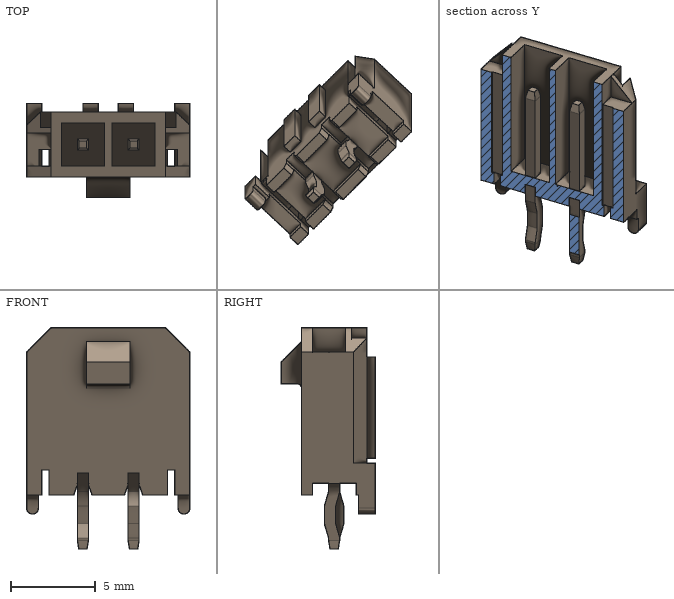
import cadquery as cq


width = 9.65
half_width = width / 2
depth = 3.86
height = 9.89
shoulder = 1.44
wall = 0.65
crown_half = half_width - shoulder
ear_floor = height - shoulder
bevel_width = 0.82
bevel_depth = 0.78
bevel_bottom = 1.88

well_rear = 2.62
ledge_front = 2.94
channel_edge = half_width - bevel_width
pit_edge = 4.08
pit_rear = 1.64
slot_inner = 3.5
slot_outer = 3.92
slot_top = 1.48

pitch = 3.0
cavity = 2.55
cavity_floor = 1.96

recess_top = 0.69
recess_rear = 3.23
pin_notch_top = 1.31
flare_top = 0.58
flare_half = 0.54

rear_reach = 4.37
rib_width = 0.92
rib_spacing = 2.09
rib_bottom = 2.17
rib_top = 8.16
peg_width = 0.7
peg_length = 1.12
peg_front = 3.36

latch_width = 2.59
latch_reach = 1.2
latch_top = 9.06
latch_bottom = 6.57
latch_fillet = 0.25

pin = 0.67
pin_y = wall + cavity / 2
pin_top = 7.85
pin_tip_z = -3.19
tail_taper = 0.52
tail_tip = 0.5
mating_taper = 0.52
mating_tip = 0.43
kink = 0.25
kink_start = 0.21
kink_flat_top = -0.65
kink_flat_bottom = -1.69
kink_end = -2.54

SIDES = (-1, 1)


def block(x0, x1, y0, y1, z0, z1):
    """Axis-aligned box between two corners."""
    return cq.Workplane("XY").box(x1 - x0, y1 - y0, z1 - z0, centered=False).translate((x0, y0, z0))


def side_block(side, x0, x1, y0, y1, z0, z1):
    """Box whose X range is measured outward from the plane of symmetry."""
    left, right = sorted((side * x0, side * x1))
    return block(left, right, y0, y1, z0, z1)


def extrude_along_y(outline, y0, y1):
    """Extrude a closed XZ sketch from y0 to y1."""
    return outline.extrude(y0 - y1).translate((0, y0, 0))


def make_shell():
    """Housing with sloped shoulders."""
    outline = (
        cq.Workplane("XZ")
        .moveTo(-half_width, 0)
        .lineTo(half_width, 0)
        .lineTo(half_width, ear_floor)
        .lineTo(crown_half, height)
        .lineTo(-crown_half, height)
        .lineTo(-half_width, ear_floor)
        .close()
    )
    return extrude_along_y(outline, 0, depth)


def make_rear_bevel(side):
    """Wedge removed from a rear vertical edge, above the foot."""
    return (
        cq.Workplane("XY")
        .workplane(offset=bevel_bottom)
        .moveTo(side * half_width, depth - bevel_depth)
        .lineTo(side * half_width, depth)
        .lineTo(side * channel_edge, depth)
        .close()
        .extrude(height - bevel_bottom)
    )


def make_ear_openings(side):
    """Well on the shoulder, pit in its floor, slot under it and channel at the rear corner."""
    well = side_block(side, crown_half, half_width, wall, well_rear, ear_floor, height)
    pit = side_block(side, crown_half, pit_edge, wall, pit_rear, slot_top, ear_floor)
    slot = side_block(side, slot_inner, slot_outer, 0, depth, 0, slot_top)
    channel = side_block(side, crown_half, channel_edge, ledge_front, depth, bevel_bottom, height)
    return well.union(pit).union(slot).union(channel)


def make_pin_notch(x):
    """Slot through the housing bottom with a flared mouth, around one pin."""
    outline = (
        cq.Workplane("XZ")
        .moveTo(x - flare_half, 0)
        .lineTo(x + flare_half, 0)
        .lineTo(x + pin / 2, flare_top)
        .lineTo(x + pin / 2, pin_notch_top)
        .lineTo(x - pin / 2, pin_notch_top)
        .lineTo(x - pin / 2, flare_top)
        .close()
    )
    return extrude_along_y(outline, 0, depth)


def make_cavity(x):
    """Square contact cavity open at the top, around one pin."""
    return block(x - cavity / 2, x + cavity / 2, wall, wall + cavity, cavity_floor, height)


def make_rib(x):
    """Vertical rib on the rear face."""
    return block(x - rib_width / 2, x + rib_width / 2, depth, rear_reach, rib_bottom, rib_top)


def make_foot(side):
    """Rear foot block with a round-ended peg below it."""
    foot = side_block(side, slot_outer, half_width, recess_rear, rear_reach, 0, bevel_bottom)
    radius = peg_width / 2
    center = side * (half_width - radius)
    outline = (
        cq.Workplane("XZ")
        .moveTo(center - radius, 0)
        .lineTo(center - radius, radius - peg_length)
        .threePointArc((center, -peg_length), (center + radius, radius - peg_length))
        .lineTo(center + radius, 0)
        .close()
    )
    return foot.union(extrude_along_y(outline, peg_front, rear_reach))


def make_latch():
    """Ramped catch on the front face with a fillet at its lower root."""
    return (
        cq.Workplane("YZ")
        .moveTo(0, latch_top)
        .lineTo(-latch_reach, latch_top - latch_reach)
        .lineTo(-latch_reach, latch_bottom)
        .lineTo(-latch_fillet, latch_bottom)
        .radiusArc((0, latch_bottom - latch_fillet), latch_fillet)
        .close()
        .extrude(latch_width / 2, both=True)
    )


def make_taper(x, z, length, tip):
    """Square pin end narrowing from full size at z; a negative length points down."""
    return (
        cq.Workplane("XY", origin=(x, pin_y, z))
        .rect(pin, pin)
        .workplane(offset=length)
        .rect(tip, tip)
        .loft(ruled=True)
    )


def make_pin(x, bend):
    """Pin with tapered ends and a tail offset by bend along Y."""
    taper_top = pin_tip_z + tail_taper
    shaft_top = pin_top - mating_taper
    spine = [
        (0, shaft_top),
        (0, kink_start),
        (bend, kink_flat_top),
        (bend, kink_flat_bottom),
        (0, kink_end),
        (0, taper_top),
    ]
    front = [(pin_y + y - pin / 2, z) for y, z in spine]
    rear = [(pin_y + y + pin / 2, z) for y, z in reversed(spine)]
    shaft = cq.Workplane("YZ", origin=(x, 0, 0)).polyline(front + rear).close().extrude(pin / 2, both=True)
    tail = make_taper(x, taper_top, -tail_taper, tail_tip)
    mating_end = make_taper(x, shaft_top, mating_taper, mating_tip)
    return shaft.union(tail).union(mating_end)


result = make_shell()

result = result.cut(block(-half_width, half_width, wall, recess_rear, 0, recess_top))
for side in SIDES:
    pin_x = side * pitch / 2
    result = result.cut(make_rear_bevel(side))
    result = result.cut(make_ear_openings(side))
    result = result.cut(make_pin_notch(pin_x))
    result = result.cut(make_cavity(pin_x))

result = result.union(make_latch())
for side in SIDES:
    result = result.union(make_foot(side))
    result = result.union(make_rib(side * rib_spacing / 2))
    result = result.union(make_pin(side * pitch / 2, -side * kink))